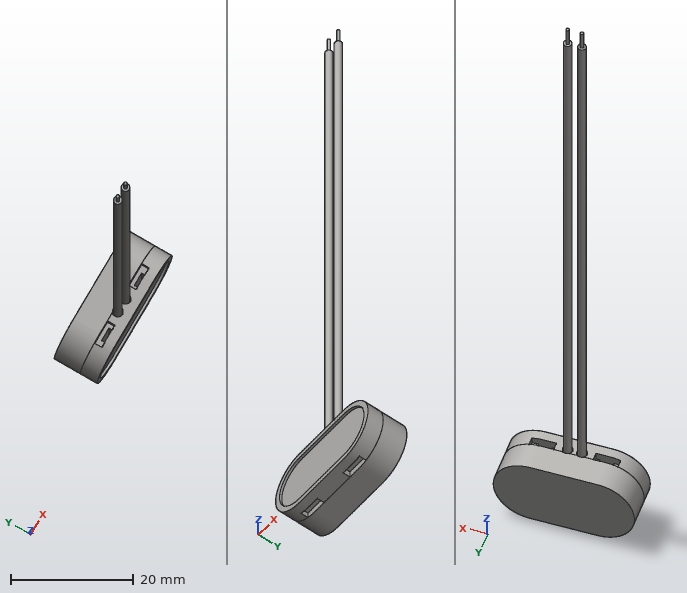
import cadquery as cq

CASE_WIDTH = 24.4
CASE_HEIGHT = 12.7
FRAME_THICKNESS = 3.2
BACK_THICKNESS = 5.0

RIM_WIDTH = 1.1
RECESS_DEPTH = 0.5

SLOT_INNER_X = 3.4
SLOT_OUTER_X = 7.7
SLOT_THICKNESS = 1.4
SLOT_DEPTH = 1.4

PASSAGE_INNER_X = 4.1
PASSAGE_OUTER_X = 6.5
PASSAGE_THICKNESS = 0.7

TOTAL_HEIGHT = 117.7
WIRE_PITCH = 2.5
WIRE_Y = -0.7
SLEEVE_DIAMETER = 1.4
BORE_DIAMETER = 1.8
CORE_DIAMETER = 0.6
STRIPPED_LENGTH = 3.4
BORE_DEPTH = SLOT_DEPTH

WIRE_BOTTOM = CASE_HEIGHT - BORE_DEPTH
CORE_LENGTH = TOTAL_HEIGHT - WIRE_BOTTOM
SLEEVE_LENGTH = CORE_LENGTH - STRIPPED_LENGTH
WIRE_XS = (-WIRE_PITCH / 2, WIRE_PITCH / 2)


def stadium_block(width, height, front_y, back_y):
    """Stadium outline in XZ, centred on the case, extruded from front_y to back_y."""
    return (
        cq.Workplane("XZ", origin=(0, back_y, CASE_HEIGHT / 2))
        .slot2D(width, height)
        .extrude(back_y - front_y)
    )


def upright_box(inner_x, outer_x, front_y, back_y, bottom_z, top_z):
    """Box between the given limits."""
    return cq.Workplane("XY").box(
        outer_x - inner_x, back_y - front_y, top_z - bottom_z, centered=False
    ).translate((inner_x, front_y, bottom_z))


def upright_cylinder(x, diameter, length):
    """Cylinder on a wire axis, rising from the bottom of the bores."""
    return cq.Workplane("XY", origin=(x, WIRE_Y, WIRE_BOTTOM)).circle(diameter / 2).extrude(length)


def cut_wire_bores(body):
    """Remove both wire bores, which straddle the split between frame and back."""
    for x in WIRE_XS:
        body = body.cut(upright_cylinder(x, BORE_DIAMETER, BORE_DEPTH))
    return body


def slot_cutter():
    """Top slot, bottom slot and the passage between them, on the +X side."""
    slot_back = 0
    slot_front = slot_back - SLOT_THICKNESS
    passage_back = slot_front + PASSAGE_THICKNESS
    top = upright_box(
        SLOT_INNER_X, SLOT_OUTER_X, slot_front, slot_back, CASE_HEIGHT - SLOT_DEPTH, CASE_HEIGHT
    )
    bottom = upright_box(SLOT_INNER_X, SLOT_OUTER_X, slot_front, slot_back, 0, SLOT_DEPTH)
    passage = upright_box(PASSAGE_INNER_X, PASSAGE_OUTER_X, slot_front, passage_back, 0, CASE_HEIGHT)
    return top.union(bottom).union(passage)


def make_frame():
    front_y = -FRAME_THICKNESS
    frame = stadium_block(CASE_WIDTH, CASE_HEIGHT, front_y, 0)
    recess = stadium_block(
        CASE_WIDTH - 2 * RIM_WIDTH, CASE_HEIGHT - 2 * RIM_WIDTH, front_y, front_y + RECESS_DEPTH
    )
    slot = slot_cutter()
    frame = frame.cut(recess).cut(slot).cut(slot.mirror("YZ"))
    return cut_wire_bores(frame)


def make_back():
    return cut_wire_bores(stadium_block(CASE_WIDTH, CASE_HEIGHT, 0, BACK_THICKNESS))


def make_core(x):
    return upright_cylinder(x, CORE_DIAMETER, CORE_LENGTH)


def make_sleeve(x):
    outside = upright_cylinder(x, SLEEVE_DIAMETER, SLEEVE_LENGTH)
    return outside.cut(upright_cylinder(x, CORE_DIAMETER, SLEEVE_LENGTH))


frame = make_frame()
back = make_back()
sleeves = [make_sleeve(x).val() for x in WIRE_XS]
cores = [make_core(x).val() for x in WIRE_XS]

result = cq.Compound.makeCompound([frame.val(), back.val(), *sleeves, *cores])